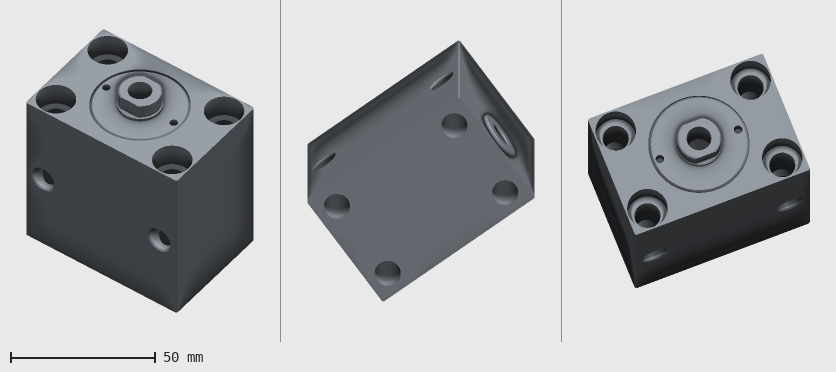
import cadquery as cq
import math

BLOCK_LENGTH = 65.0
BLOCK_WIDTH = 45.0
BLOCK_HEIGHT = 64.0
BLOCK_EDGE_CHAMFER = 0.5

HOLE_SPACING_X = 50.0
HOLE_SPACING_Y = 29.95
HOLE_DIAMETER = 9.0
COUNTERBORE_DIAMETER = 14.0
COUNTERBORE_DEPTH = 8.95
CROSS_HOLE_HEIGHT = 31.0
CROSS_HOLE_CHAMFER = 0.5

GLAND_DIAMETER = 35.0
GLAND_DEPTH = 20.0
GLAND_CHAMFER = 1.0
SPANNER_HOLE_DIAMETER = 3.0
SPANNER_HOLE_SPACING = 29.0
SPANNER_HOLE_DEPTH = 4.0

ROD_DIAMETER = 16.0
ROD_TOP = 71
ROD_SHOULDER_HEIGHT = 1.4
ROD_TIP_DIAMETER = 15.0
ROD_CHAMFER_HEIGHT = 0.3
ROD_ACROSS_FLATS = 13.0
ROD_HOLE_DIAMETER = 8.5
ROD_HOLE_DEPTH = 15.0
DRILL_POINT_ANGLE = 118

FITTING_HEAD_DIAMETER = 17.1
FITTING_HEAD_THICKNESS = 1.55
FITTING_HEAD_CHAMFER = 0.4
FITTING_SPIGOT_DIAMETER = 12.0
FITTING_SPIGOT_LENGTH = 10.0
FITTING_HEIGHT = 11.0

PORT_MOUTH_DIAMETER = 8.65
PORT_COUNTERSINK_DEPTH = 0.4
PORT_TAPER_DIAMETER = 7.95
PORT_END_DIAMETER = 6.9

ROD_CHAMFER_INSET = (ROD_DIAMETER - ROD_TIP_DIAMETER) / 2
GLAND_BOTTOM = BLOCK_HEIGHT - GLAND_DEPTH
BLOCK_LEFT = -BLOCK_LENGTH / 2
FITTING_FACE = BLOCK_LEFT - FITTING_HEAD_THICKNESS


def disc(diameter, bottom, top):
    """Vertical cylinder on the Z axis between two heights."""
    return cq.Workplane("XY").workplane(offset=bottom).circle(diameter / 2).extrude(top - bottom)


def port_cylinder(diameter, start, length):
    """Cylinder on the fitting axis that starts at the given X and runs towards +X."""
    return cq.Workplane("YZ", origin=(start, 0, FITTING_HEIGHT)).circle(diameter / 2).extrude(length)


def cross_hole(x):
    """Hole along Y through the whole block at the given X, chamfered at both mouths."""
    half_width = BLOCK_WIDTH / 2
    radius = HOLE_DIAMETER / 2
    mouth_radius = radius + CROSS_HOLE_CHAMFER
    return (
        cq.Workplane("XY", origin=(x, 0, CROSS_HOLE_HEIGHT))
        .polyline([
            (0, -half_width),
            (mouth_radius, -half_width),
            (radius, -half_width + CROSS_HOLE_CHAMFER),
            (radius, half_width - CROSS_HOLE_CHAMFER),
            (mouth_radius, half_width),
            (0, half_width),
        ])
        .close().revolve(360, (0, 0, 0), (0, 1, 0))
    )


def make_housing():
    block = cq.Workplane("XY").box(BLOCK_LENGTH, BLOCK_WIDTH, BLOCK_HEIGHT, centered=(True, True, False))
    block = block.edges("|Z").chamfer(BLOCK_EDGE_CHAMFER)
    block = (
        block.faces(">Z").workplane(origin=(0, 0, BLOCK_HEIGHT))
        .rarray(HOLE_SPACING_X, HOLE_SPACING_Y, 2, 2)
        .cboreHole(HOLE_DIAMETER, COUNTERBORE_DIAMETER, COUNTERBORE_DEPTH)
    )
    for x in (-HOLE_SPACING_X / 2, HOLE_SPACING_X / 2):
        block = block.cut(cross_hole(x))
    gland_bore = disc(GLAND_DIAMETER, GLAND_BOTTOM, BLOCK_HEIGHT)
    fitting_bore = port_cylinder(FITTING_SPIGOT_DIAMETER, BLOCK_LEFT, FITTING_SPIGOT_LENGTH)
    return block.cut(gland_bore).cut(fitting_bore)


def make_gland():
    gland = disc(GLAND_DIAMETER, GLAND_BOTTOM, BLOCK_HEIGHT).faces(">Z").chamfer(GLAND_CHAMFER)
    gland = gland.cut(disc(ROD_DIAMETER, GLAND_BOTTOM, BLOCK_HEIGHT))
    return (
        gland.faces(">Z").workplane(origin=(0, 0, BLOCK_HEIGHT))
        .rarray(SPANNER_HOLE_SPACING, 0.7, 2, 1)
        .hole(SPANNER_HOLE_DIAMETER, SPANNER_HOLE_DEPTH)
    )


def drilled_hole():
    """Blind hole down the rod with a conical drill point."""
    bottom = ROD_TOP - ROD_HOLE_DEPTH
    point_depth = ROD_HOLE_DIAMETER / 2 / math.tan(math.radians(DRILL_POINT_ANGLE / 2))
    return (
        cq.Workplane("XZ")
        .polyline([
            (0, ROD_TOP),
            (ROD_HOLE_DIAMETER / 2, ROD_TOP),
            (ROD_HOLE_DIAMETER / 2, bottom),
            (0, bottom - point_depth),
        ])
        .close().revolve(360, (0, 0, 0), (0, 1, 0))
    )


def make_rod():
    shoulder_top = BLOCK_HEIGHT + ROD_SHOULDER_HEIGHT
    body = disc(ROD_DIAMETER, GLAND_BOTTOM, shoulder_top)
    body = body.faces(">Z").chamfer(ROD_CHAMFER_HEIGHT, ROD_CHAMFER_INSET)
    tip = disc(ROD_TIP_DIAMETER, shoulder_top, ROD_TOP)
    tip = tip.faces(">Z").chamfer(ROD_CHAMFER_HEIGHT, ROD_CHAMFER_INSET)
    flats = (
        cq.Workplane("XY").workplane(offset=shoulder_top)
        .rect(ROD_DIAMETER, ROD_ACROSS_FLATS).extrude(ROD_TOP - shoulder_top)
    )
    return body.union(tip.intersect(flats)).cut(drilled_hole())


def port_hole():
    """Countersunk, slightly tapered hole through the whole fitting."""
    taper_start = FITTING_FACE + PORT_COUNTERSINK_DEPTH
    spigot_end = BLOCK_LEFT + FITTING_SPIGOT_LENGTH
    return (
        cq.Workplane("XZ", origin=(0, 0, FITTING_HEIGHT))
        .polyline([
            (FITTING_FACE, 0),
            (FITTING_FACE, -PORT_MOUTH_DIAMETER / 2),
            (taper_start, -PORT_TAPER_DIAMETER / 2),
            (spigot_end, -PORT_END_DIAMETER / 2),
            (spigot_end, 0),
        ])
        .close().revolve(360, (0, 0, 0), (1, 0, 0))
    )


def make_fitting():
    head = port_cylinder(FITTING_HEAD_DIAMETER, FITTING_FACE, FITTING_HEAD_THICKNESS)
    head = head.faces("<X or >X").chamfer(FITTING_HEAD_CHAMFER)
    spigot = port_cylinder(FITTING_SPIGOT_DIAMETER, BLOCK_LEFT, FITTING_SPIGOT_LENGTH)
    return head.union(spigot).cut(port_hole())


housing = make_housing()
gland = make_gland()
rod = make_rod()
fitting = make_fitting()

result = cq.Compound.makeCompound([housing.val(), gland.val(), rod.val(), fitting.val()])